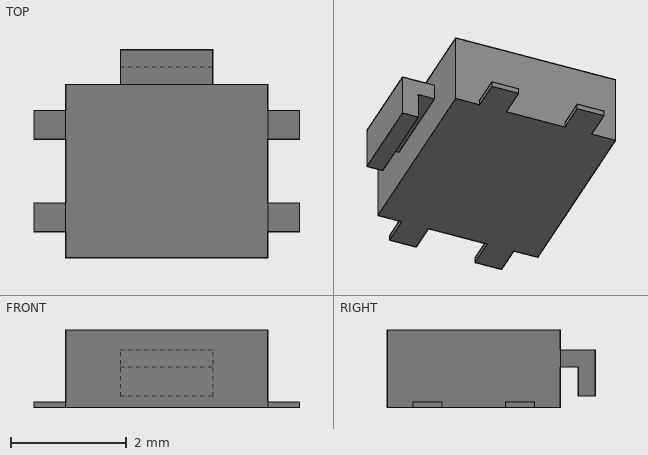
import cadquery as cq

overall_width = 4.6
housing_width = 3.5
housing_depth = 3.0
housing_height = 1.35

terminal_length = (overall_width - housing_width) / 2
terminal_width = 0.5
terminal_thickness = 0.1
terminal_spacing = 1.6

actuator_width = 1.6
actuator_reach = 0.603
actuator_thickness = 0.3
actuator_top = 1.0
actuator_bottom = 0.2


def make_housing():
    """Rectangular housing with two terminals on each side."""
    housing = cq.Workplane("XY").box(
        housing_width, housing_depth, housing_height, centered=(True, True, False)
    )
    terminal = cq.Workplane("XY").box(
        terminal_length, terminal_width, terminal_thickness, centered=(True, True, False)
    )
    terminal_x = (housing_width + terminal_length) / 2
    for x in (-terminal_x, terminal_x):
        for y in (-terminal_spacing / 2, terminal_spacing / 2):
            housing = housing.union(terminal.translate((x, y, 0)))
    return housing


def make_actuator():
    """L-shaped actuator: an arm out of the +Y face and a plate hanging from its end."""
    root_y = housing_depth / 2
    tip_y = root_y + actuator_reach
    plate_y = tip_y - actuator_thickness
    arm_bottom = actuator_top - actuator_thickness
    outline = [
        (root_y, actuator_top),
        (tip_y, actuator_top),
        (tip_y, actuator_bottom),
        (plate_y, actuator_bottom),
        (plate_y, arm_bottom),
        (root_y, arm_bottom),
    ]
    return cq.Workplane("YZ").polyline(outline).close().extrude(actuator_width / 2, both=True)


housing = make_housing()
actuator = make_actuator()

result = cq.Compound.makeCompound([housing.val(), actuator.val()])